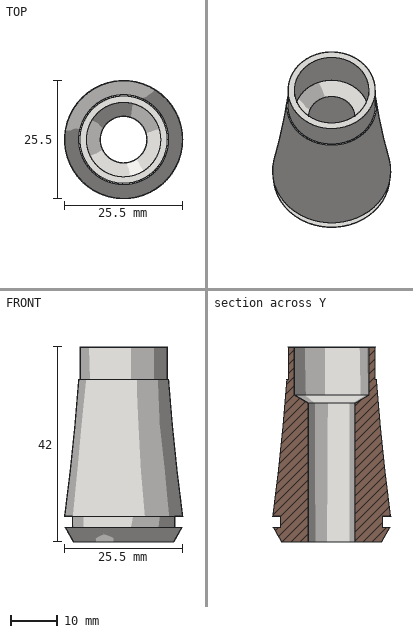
import cadquery as cq

total_height = 42.0
flange_height = 3.2
groove_top = 5.55
shoulder_height = 35.03
bore_floor = 31.7
cone_depth = 1.75
hole_top = bore_floor - cone_depth

flange_base_radius = 10.8
flange_rim_radius = 12.6
groove_radius = 11.05
body_base_radius = 12.745
body_top_radius = 9.7
body_flare_radius = 499.8
neck_radius = 9.4

bore_radius = 8.02
hole_radius = 5.0

half_section = (
    cq.Workplane("XZ")
    .moveTo(hole_radius, 0)
    .lineTo(flange_base_radius, 0)
    .lineTo(flange_rim_radius, flange_height)
    .lineTo(groove_radius, flange_height)
    .lineTo(groove_radius, groove_top)
    .lineTo(body_base_radius, groove_top)
    .radiusArc((body_top_radius, shoulder_height), body_flare_radius)
    .lineTo(neck_radius, shoulder_height)
    .lineTo(neck_radius, total_height)
    .lineTo(bore_radius, total_height)
    .lineTo(bore_radius, bore_floor)
    .lineTo(hole_radius, hole_top)
    .close()
)
result = half_section.revolve(360, (0, 0, 0), (0, 1, 0))